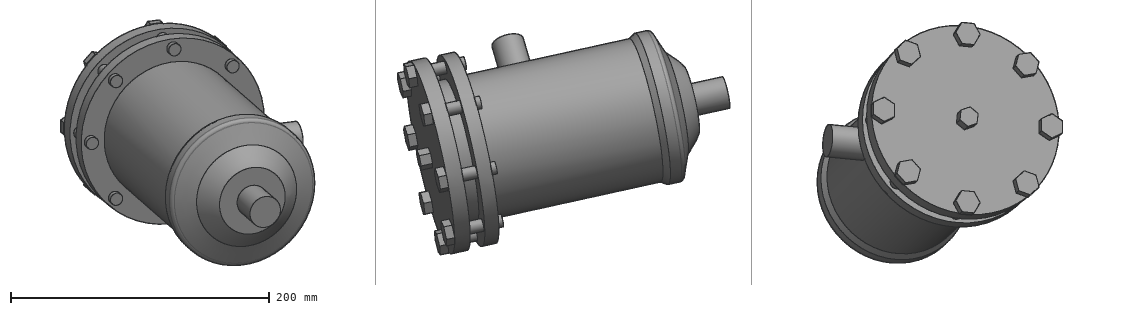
import cadquery as cq
import math

head_start = 2.5
cover_start = 9.0
cover_end = 21.5
flange_start = 33.5
flange_end = 44.7
bolt_end = 49.0
rim_start = 180.7
rim_full = 185.8
rim_round_start = 194.7
cone_start = 198.4
cone_end = 205.0
dome_end = 217.5
overall_length = 245.5

cover_radius = 153.0 / 2
flange_radius = 152.0 / 2
shell_radius = 114.0 / 2
rim_radius = 120.3 / 2
cone_large_radius = 57.5
cone_small_radius = 41.5
dome_end_radius = 27.3
dome_bulge = 0.7
pipe_radius = 25.3 / 2

bolt_count = 8
bolt_diameter = 10.0
bolt_head_flats = 17.2
bolts_outer_diameter = 154.0
bolt_circle_radius = (bolts_outer_diameter - bolt_head_flats) / 2
centre_hex_flats = 14.0
centre_hex_turn = 6.0

branch_x = 92.5
overall_width = 162.0
branch_tip_y = overall_width - bolts_outer_diameter / 2


def disc(start, end, radius):
    """Cylinder on the X axis between two stations."""
    return cq.Workplane("YZ", origin=(start, 0, 0)).circle(radius).extrude(end - start)


def hex_prism(start, end, across_flats):
    """Hexagonal prism on the X axis with flats facing +Z and -Z."""
    across_corners = across_flats / math.cos(math.pi / 6)
    return cq.Workplane("YZ", origin=(start, 0, 0)).polygon(6, across_corners).extrude(end - start)


def vessel_body():
    """Shell, raised rim, cone and domed end, turned about X as one solid."""
    dome_mid_x = (cone_end + dome_end) / 2
    dome_mid_radius = (cone_small_radius + dome_end_radius) / 2
    chord_angle = math.atan2(cone_small_radius - dome_end_radius, dome_end - cone_end)
    dome_crest = (
        dome_mid_x + dome_bulge * math.sin(chord_angle),
        dome_mid_radius + dome_bulge * math.cos(chord_angle),
    )
    rim_round_drop = rim_radius - cone_large_radius
    rim_round_mid = (
        rim_round_start + (cone_start - rim_round_start) * math.sin(math.pi / 4),
        rim_radius - rim_round_drop * (1 - math.cos(math.pi / 4)),
    )
    profile = (
        cq.Workplane("XY")
        .moveTo(cover_end, 0)
        .lineTo(cover_end, shell_radius)
        .lineTo(rim_start, shell_radius)
        .lineTo(rim_full, rim_radius)
        .lineTo(rim_round_start, rim_radius)
        .threePointArc(rim_round_mid, (cone_start, cone_large_radius))
        .lineTo(cone_end, cone_small_radius)
        .threePointArc(dome_crest, (dome_end, dome_end_radius))
        .lineTo(dome_end, 0)
        .close()
    )
    return profile.revolve(360, (0, 0, 0), (1, 0, 0))


def branch_pipe():
    """Side pipe running from the shell axis out to +Y."""
    return cq.Workplane("XZ", origin=(branch_x, 0, 0)).circle(pipe_radius).extrude(-branch_tip_y)


def bolt():
    """Hex bolt at the top of the bolt circle, one flat facing outward."""
    head = hex_prism(head_start, cover_start, bolt_head_flats)
    shank = disc(cover_start, bolt_end, bolt_diameter / 2)
    return head.union(shank).translate((0, 0, bolt_circle_radius))


result = (
    vessel_body()
    .union(disc(cover_start, cover_end, cover_radius))
    .union(disc(flange_start, flange_end, flange_radius))
    .union(disc(dome_end, overall_length, pipe_radius))
    .union(branch_pipe())
)

for index in range(bolt_count):
    angle = index * 360 / bolt_count
    result = result.union(bolt().rotate((0, 0, 0), (1, 0, 0), angle))

centre_hex = hex_prism(0, cover_start, centre_hex_flats)
result = result.union(centre_hex.rotate((0, 0, 0), (1, 0, 0), 90 + centre_hex_turn))